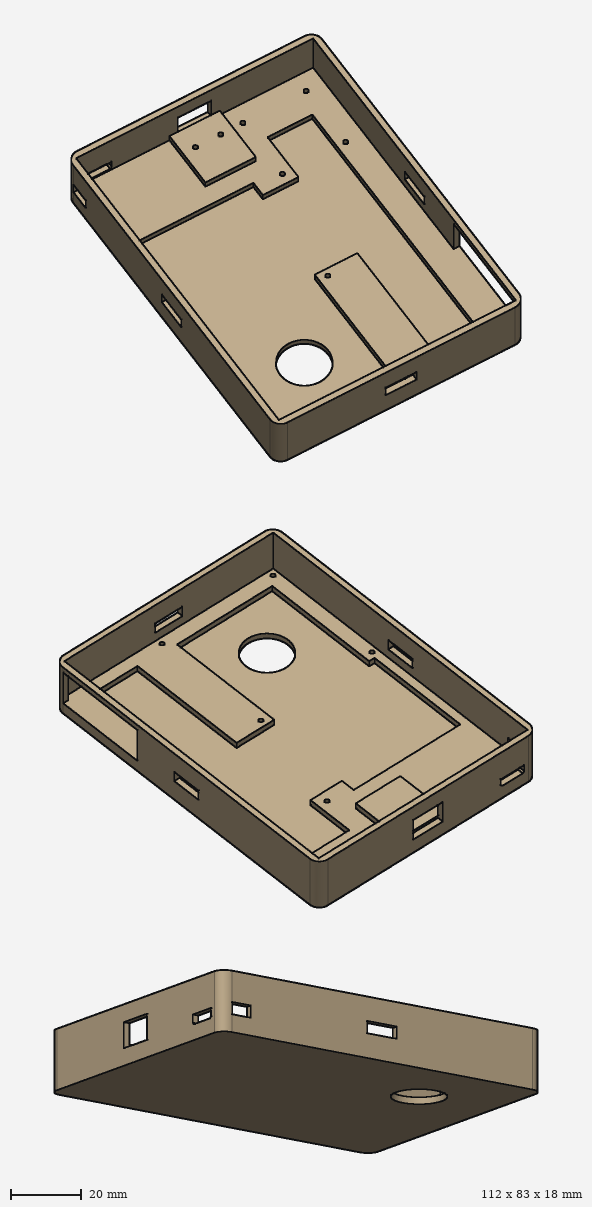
import cadquery as cq

length = 112.0
width = 83.0
height = 18.0
wall = 2.0
corner_radius = 3.6

step = 2.0
recess_level = step
main_level = recess_level + step
pad_level = main_level + step

inner_length = length - 2 * wall
inner_width = width - 2 * wall

pad_length = 19.2
pad_width = 16.8

recess_outline = [
    (-40.2, 30.6),
    (49.7, 30.6),
    (49.7, 15.7),
    (7.6, 15.7),
    (7.6, 1.5),
    (48.8, 1.5),
    (48.8, -34.5),
    (7.6, -34.5),
    (7.6, -36.5),
    (-28.8, -36.5),
    (-28.8, 3.8),
    (-23.7, 3.8),
    (-23.7, 15.7),
    (-40.2, 15.7),
]

opening_diameter = 16.0
opening_center = (30.9, -16.6)

screw_diameter = 1.5
screw_depth = step
small_board_pitch = 21.0
small_board_center = (-37.6, 23.0)
large_board_pitch = 42.0
large_board_center = opening_center
pad_hole_x = -46.8
pad_hole_pitch = 8.4

slot_length = 10.3
slot_bottom = 7.3
slot_top = 10.9

connector_width = 11.2
connector_bottom = 5.2
connector_top = 12.8
usb_y = -32.0
usb_width = 8.8
usb_bottom = 4.7
usb_top = 7.6
usb_corner = 0.6

switch_left = -52.2
switch_right = -45.7
switch_bottom = 5.3
switch_top = 8.8

window_left = 20.8
window_right = 52.3
window_top = 16.0


def block(x_range, y_range, z_range):
    """Box spanning the given ranges along each axis."""
    starts, ends = zip(x_range, y_range, z_range)
    sizes = [end - start for start, end in zip(starts, ends)]
    return cq.Workplane("XY").box(*sizes, centered=False).translate(starts)


def screw_holes(points, level):
    """Blind screw holes going down from a floor level."""
    plane = cq.Workplane("XY").workplane(offset=level)
    return plane.pushPoints(points).circle(screw_diameter / 2).extrude(-screw_depth)


def square_pattern(center, pitch):
    """Four corners of a square."""
    half = pitch / 2
    return [(center[0] + i * half, center[1] + j * half) for i in (-1, 1) for j in (-1, 1)]


minus_x_wall = (-length / 2, -inner_length / 2)
plus_x_wall = (inner_length / 2, length / 2)
minus_y_wall = (-width / 2, -inner_width / 2)
plus_y_wall = (inner_width / 2, width / 2)

body = cq.Workplane("XY").box(length, width, height, centered=(True, True, False))
body = body.edges("|Z").fillet(corner_radius)
body = body.cut(
    block(
        (-inner_length / 2, inner_length / 2),
        (-inner_width / 2, inner_width / 2),
        (main_level, height),
    )
)

recess = cq.Workplane("XY").workplane(offset=recess_level).polyline(recess_outline).close()
body = body.cut(recess.extrude(step))
opening = cq.Workplane("XY").center(*opening_center).circle(opening_diameter / 2)
body = body.cut(opening.extrude(main_level))

pad_left = -inner_length / 2
body = body.union(
    block(
        (pad_left, pad_left + pad_length),
        (-pad_width / 2, pad_width / 2),
        (recess_level, pad_level),
    )
)
body = body.cut(
    block(
        minus_x_wall,
        (-connector_width / 2, connector_width / 2),
        (connector_bottom, connector_top),
    )
)

body = body.cut(screw_holes(square_pattern(small_board_center, small_board_pitch), main_level))
body = body.cut(screw_holes(square_pattern(large_board_center, large_board_pitch), main_level))
pad_points = [(pad_hole_x, side * pad_hole_pitch / 2) for side in (-1, 1)]
body = body.cut(screw_holes(pad_points, pad_level))

slot_span = (-slot_length / 2, slot_length / 2)
slot_heights = (slot_bottom, slot_top)
body = body.cut(block(plus_x_wall, slot_span, slot_heights))
for y_wall in (minus_y_wall, plus_y_wall):
    body = body.cut(block(slot_span, y_wall, slot_heights))

usb = block(
    minus_x_wall,
    (usb_y - usb_width / 2, usb_y + usb_width / 2),
    (usb_bottom, usb_top),
)
body = body.cut(usb.faces("<Z").edges("|X").chamfer(usb_corner))

body = body.cut(block((switch_left, switch_right), minus_y_wall, (switch_bottom, switch_top)))
body = body.cut(block((window_left, window_right), plus_y_wall, (main_level, window_top)))

result = body